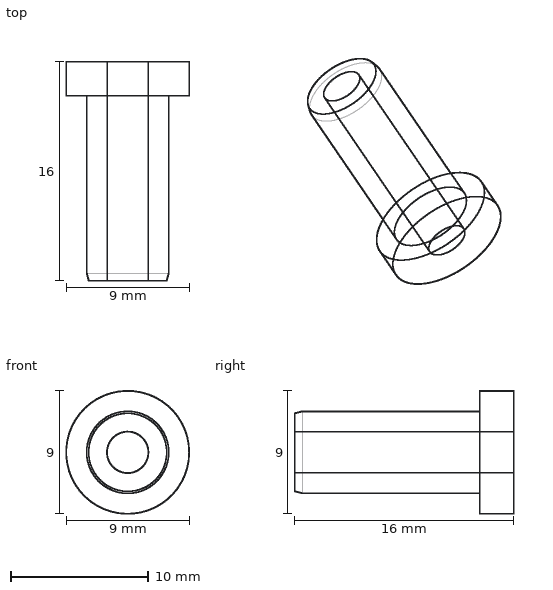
import cadquery as cq
import math

total_length = 16.0
head_diameter = 9.0
head_thickness = 2.5
shank_diameter = 6.0
bore_diameter = 3.0

lead_in_length = 0.56
lead_in_angle = 15.0

head_radius = head_diameter / 2
shank_radius = shank_diameter / 2
bore_radius = bore_diameter / 2
tip_radius = shank_radius - lead_in_length * math.tan(math.radians(lead_in_angle))
head_underside = total_length - head_thickness

half_section = (
    cq.Workplane("XY")
    .moveTo(bore_radius, 0)
    .lineTo(tip_radius, 0)
    .lineTo(shank_radius, lead_in_length)
    .lineTo(shank_radius, head_underside)
    .lineTo(head_radius, head_underside)
    .lineTo(head_radius, total_length)
    .lineTo(bore_radius, total_length)
    .close()
)

result = half_section.revolve(360, (0, 0, 0), (0, 1, 0))